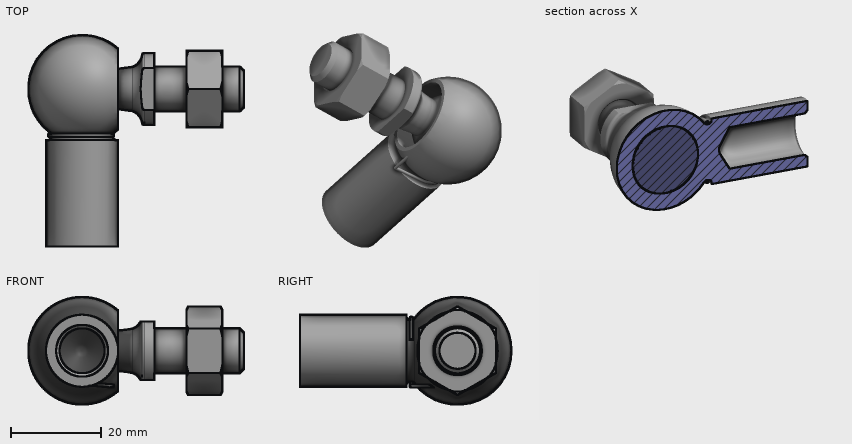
import cadquery as cq
import math


housing_radius = 12.0
seat_radius = 8.0
opening_face_x = 8.0
sleeve_radius = 8.0
sleeve_end = 34.95
sleeve_start = 11.3
groove_start = 9.55
groove_shoulder_radius = 7.4
groove_floor_radius = 6.8
thread_bore_radius = 5.0
bore_chamfer = 0.75
bore_depth = 19.15
drill_half_angle = math.radians(59)

wire_radius = 0.36
clip_distance = 10.25
clip_radius = 7.2
tail_slope = math.radians(5)
tail_end_x = 6.7
ring_end_angle = math.radians(20)
leg_tip_distance = 4.55

stud_end_x = 35.95
shank_radius = 10.0 / 2
shank_chamfer = 1.0
ball_radius = seat_radius
neck_root_radius = 4.5
neck_end_x = 11.2
neck_end_radius = 4.95
flare_end_x = 13.2
flare_end_radius = 7.35
flare_sag = 0.45
rim_sag = -0.2
collar_radius = 8.0
collar_rim_x = 13.85
collar_end_x = 16.0
collar_flats = 13.05

nut_start_x = 23.1
nut_thickness = 8.0
nut_flats = 17.0
nut_face_radius = 9.05
nut_chamfer_length = 0.45
nut_countersink = 0.4


def bulged_midpoint(start, end, sag):
    """Point off the middle of a chord by sag, to the right of the direction of travel."""
    run = end[0] - start[0]
    rise = end[1] - start[1]
    chord = math.hypot(run, rise)
    return (
        (start[0] + end[0]) / 2 + sag * rise / chord,
        (start[1] + end[1]) / 2 - sag * run / chord,
    )


tail_tangent_angle = -math.pi / 2 - tail_slope
tail_tangent = (clip_radius * math.cos(tail_tangent_angle), clip_radius * math.sin(tail_tangent_angle))
tail_end_z = tail_tangent[1] - (tail_end_x - tail_tangent[0]) * math.tan(tail_slope)


def make_clip_leg():
    """Straight wire parallel to the sleeve, used as the clip's leg and as its hole."""
    leg_plane = cq.Plane(origin=(tail_end_x, -clip_distance, tail_end_z), xDir=(1, 0, 0), normal=(0, 1, 0))
    return cq.Workplane(leg_plane).circle(wire_radius).extrude(clip_distance - leg_tip_distance)


def make_housing():
    groove_edge_radius = math.sqrt(housing_radius**2 - groove_start**2)
    groove_middle = (groove_start + sleeve_start) / 2
    bore_bottom = sleeve_end - bore_depth
    cone_tip = bore_bottom - thread_bore_radius / math.tan(drill_half_angle)
    body = (
        cq.Workplane("XY")
        .moveTo(0, housing_radius)
        .threePointArc((housing_radius, 0), (groove_edge_radius, -groove_start))
        .threePointArc((groove_floor_radius, -groove_middle), (groove_shoulder_radius, -sleeve_start))
        .lineTo(sleeve_radius, -sleeve_start)
        .lineTo(sleeve_radius, -sleeve_end)
        .lineTo(thread_bore_radius + bore_chamfer, -sleeve_end)
        .lineTo(thread_bore_radius, -sleeve_end + bore_chamfer)
        .lineTo(thread_bore_radius, -bore_bottom)
        .lineTo(0, -cone_tip)
        .close()
        .revolve(360, (0, 0, 0), (0, 1, 0))
    )

    face_cut = (
        cq.Workplane("XY")
        .box(housing_radius, housing_radius + groove_middle, 2 * housing_radius, centered=(False, False, True))
        .translate((opening_face_x, -groove_middle, 0))
    )

    seat_middle = seat_radius * math.sqrt(0.5)
    seat = (
        cq.Workplane("XY")
        .moveTo(-seat_radius, 0)
        .threePointArc((-seat_middle, seat_middle), (0, seat_radius))
        .lineTo(housing_radius, seat_radius)
        .lineTo(housing_radius, 0)
        .close()
        .revolve(360, (0, 0, 0), (1, 0, 0))
    )
    return body.cut(face_cut).cut(seat).cut(make_clip_leg())


def make_clip():
    """Open wire ring with a tangent tail that bends into the housing."""
    mid_angle = (ring_end_angle + tail_tangent_angle + 2 * math.pi) / 2

    def ring_point(angle):
        return cq.Vector(clip_radius * math.cos(angle), -clip_distance, clip_radius * math.sin(angle))

    ring_arc = cq.Edge.makeThreePointArc(
        ring_point(ring_end_angle), ring_point(mid_angle), ring_point(tail_tangent_angle)
    )
    tail_end = cq.Vector(tail_end_x, -clip_distance, tail_end_z)
    tail_line = cq.Edge.makeLine(ring_point(tail_tangent_angle), tail_end)
    path = cq.Wire.assembleEdges([ring_arc, tail_line])
    wire_plane = cq.Plane(origin=ring_point(ring_end_angle), xDir=(0, 1, 0), normal=ring_arc.tangentAt(0))
    ring = cq.Workplane(wire_plane).circle(wire_radius).sweep(cq.Workplane(path))
    elbow = cq.Workplane("XY").sphere(wire_radius).translate(tail_end)
    return ring.union(elbow).union(make_clip_leg())


def make_ball_stud():
    neck_root_x = math.sqrt(ball_radius**2 - neck_root_radius**2)
    neck_end = (neck_end_x, neck_end_radius)
    flare_end = (flare_end_x, flare_end_radius)
    rim = (collar_rim_x, collar_radius)
    body = (
        cq.Workplane("XY")
        .moveTo(-ball_radius, 0)
        .threePointArc((0, ball_radius), (neck_root_x, neck_root_radius))
        .lineTo(opening_face_x, neck_root_radius)
        .lineTo(*neck_end)
        .threePointArc(bulged_midpoint(neck_end, flare_end, flare_sag), flare_end)
        .threePointArc(bulged_midpoint(flare_end, rim, rim_sag), rim)
        .lineTo(collar_end_x, collar_radius)
        .lineTo(collar_end_x, shank_radius)
        .lineTo(stud_end_x - shank_chamfer, shank_radius)
        .lineTo(stud_end_x, shank_radius - shank_chamfer)
        .lineTo(stud_end_x, 0)
        .close()
        .revolve(360, (0, 0, 0), (1, 0, 0))
    )
    collar_length = collar_end_x - neck_end_x
    flat_depth = collar_radius
    for side in (1, -1):
        flat_cut = cq.Workplane("XY").box(collar_length, 2 * collar_radius, flat_depth).translate(
            ((neck_end_x + collar_end_x) / 2, 0, side * (collar_flats + flat_depth) / 2)
        )
        body = body.cut(flat_cut)
    return body


def make_nut():
    nut_end_x = nut_start_x + nut_thickness
    corner_diameter = nut_flats / math.cos(math.pi / 6)
    corner_radius = corner_diameter / 2
    hexagon = (
        cq.Workplane("YZ")
        .workplane(offset=nut_start_x)
        .transformed(rotate=(0, 0, 90))
        .polygon(6, corner_diameter)
        .extrude(nut_thickness)
    )
    envelope = (
        cq.Workplane("XY")
        .polyline(
            [
                (nut_start_x, shank_radius + nut_countersink),
                (nut_start_x, nut_face_radius),
                (nut_start_x + nut_chamfer_length, corner_radius),
                (nut_end_x - nut_chamfer_length, corner_radius),
                (nut_end_x, nut_face_radius),
                (nut_end_x, shank_radius + nut_countersink),
                (nut_end_x - nut_countersink, shank_radius),
                (nut_start_x + nut_countersink, shank_radius),
            ]
        )
        .close()
        .revolve(360, (0, 0, 0), (1, 0, 0))
    )
    return hexagon.intersect(envelope)


housing = make_housing().solids()
clip = make_clip().solids()
ball_stud = make_ball_stud().solids()
nut = make_nut().solids()

result = cq.Compound.makeCompound([housing.val(), clip.val(), ball_stud.val(), nut.val()])